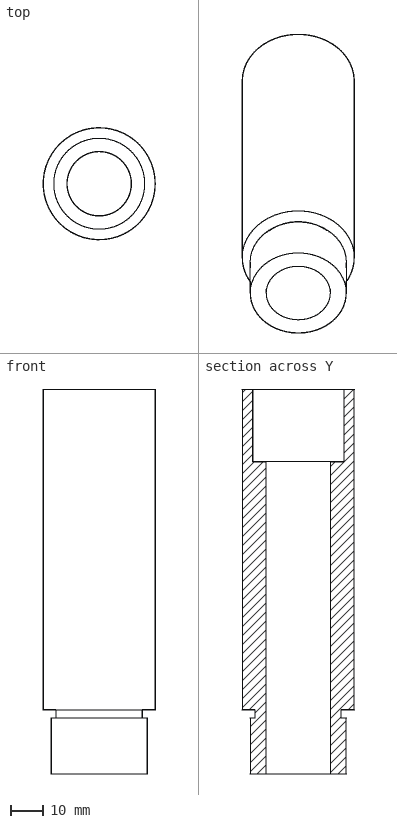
import cadquery as cq

total_length = 120.0
body_diameter = 35.0

spigot_diameter = 30.0
spigot_length = 20.0
relief_diameter = 27.0
relief_width = 2.5

bore_diameter = 20.0
socket_diameter = 28.38
socket_depth = 22.5


def cylinder(diameter, bottom, top):
    """Solid cylinder on the Z axis between two heights."""
    return cq.Workplane("XY").workplane(offset=bottom).circle(diameter / 2).extrude(top - bottom)


def outer_shape():
    """Body, relief groove and spigot stacked along Z."""
    relief_bottom = spigot_length - relief_width
    spigot = cylinder(spigot_diameter, 0, relief_bottom)
    relief = cylinder(relief_diameter, relief_bottom, spigot_length)
    body = cylinder(body_diameter, spigot_length, total_length)
    return spigot.union(relief).union(body)


def inner_shape():
    """Through bore with the wider socket at the upper end."""
    bore = cylinder(bore_diameter, 0, total_length)
    socket = cylinder(socket_diameter, total_length - socket_depth, total_length)
    return bore.union(socket)


result = outer_shape().cut(inner_shape())